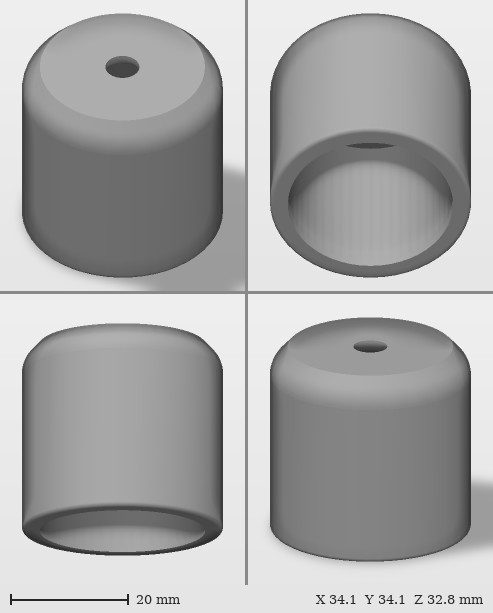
import cadquery as cq
import math

body_diameter = 34.1
body_height = 32.75
top_face_diameter = 28.0
bevel_base_diameter = 31.1
bevel_height = 1.6
shoulder_height = 3.5
bottom_fillet = 0.7

bore_diameter = 5.75
cavity_diameter = 28.0
top_thickness = 3.0
bore_straight_depth = 0.5

body_radius = body_diameter / 2
bevel_base_radius = bevel_base_diameter / 2
bevel_base_z = body_height - bevel_height
shoulder_base_z = bevel_base_z - shoulder_height
cavity_height = body_height - top_thickness
bore_flare_radius = top_thickness - bore_straight_depth

full_turn = 360
axis_start = (0, 0, 0)
axis_end = (0, 1, 0)


def make_body():
    """Solid of revolution: bevelled top, shoulder arc tangent to the side wall, rounded bottom edge."""
    profile = (
        cq.Workplane("XZ")
        .lineTo(body_radius, 0)
        .lineTo(body_radius, shoulder_base_z)
        .tangentArcPoint((bevel_base_radius, bevel_base_z), relative=False)
        .lineTo(top_face_diameter / 2, body_height)
        .lineTo(0, body_height)
        .close()
    )
    body = profile.revolve(full_turn, axis_start, axis_end)
    return body.faces("<Z").edges().fillet(bottom_fillet)


def make_cavity():
    """Cylindrical pocket open at the bottom."""
    return cq.Workplane("XY").circle(cavity_diameter / 2).extrude(cavity_height)


def make_bore():
    """Hole through the top wall, flaring out along a quarter round into the cavity."""
    bore_radius = bore_diameter / 2
    flare_top_z = cavity_height + bore_flare_radius
    flare_outer_radius = bore_radius + bore_flare_radius
    diagonal = bore_flare_radius * math.sin(math.pi / 4)
    flare_mid = (flare_outer_radius - diagonal, flare_top_z - diagonal)
    profile = (
        cq.Workplane("XZ")
        .moveTo(0, cavity_height)
        .lineTo(flare_outer_radius, cavity_height)
        .threePointArc(flare_mid, (bore_radius, flare_top_z))
        .lineTo(bore_radius, body_height)
        .lineTo(0, body_height)
        .close()
    )
    return profile.revolve(full_turn, axis_start, axis_end)


result = make_body().cut(make_cavity()).cut(make_bore())